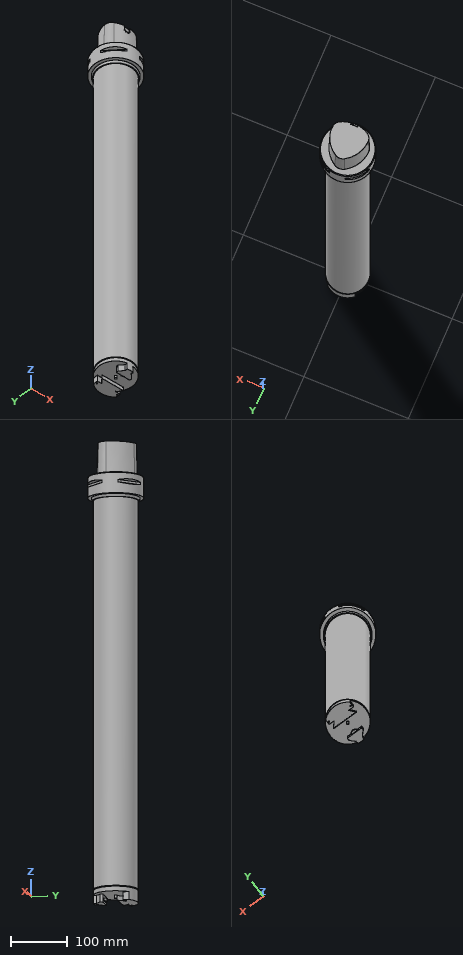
import cadquery as cq
import math

total_height = 831.0
flange_top = 772.0
flange_bottom = 734.0
collar_bottom = 729.0
ring_groove_height = 26.0
bar_bottom = 17.0
block_bottom = 2.5

bar_diameter = 80.0
bar_radius = bar_diameter / 2
collar_top_radius = 43.0
collar_bottom_radius = 41.5
flange_diameter = 100.0
flange_radius = flange_diameter / 2
flange_chamfer = 2.0
ring_groove_width = 2.0
ring_groove_depth = 0.4

lobe_count = 3
first_lobe_angle = 90
lobe_tip_radius = 37.0
lobe_radius = 17.0
flank_distance = 31.5
shank_taper = 1.4

notch_width = 12.5
notch_height = 13.0
notch_depth = 3.0
notch_corner = 3.0

slot_middle = 755.0
slot_mouth_height = 9.0
slot_floor_height = 4.0
slot_depth = 6.0
slot_angles = (45, 135, 225, 315)

overlap = 2.0
key_tip_width = 14.0
key_root_width = 31.5
key_shoulder_y = -25.0
key_inner_y = -20.0
key_disc_diameter = 16.0
key_disc_y = -23.0
key_disc_bottom = 7.0
key_disc_top = 12.0
clamp_width = 53.0
clamp_inner_y = 19.0
nose_root_width = 30.0
nose_tip_width = 50.0
nose_tip_y = 8.0
nose_top = 11.0
pin_diameter = 3.0
pin_offset = 23.7
center_stud_diameter = 5.0
center_stud_bottom = 12.0


def cylinder(radius, bottom, top):
    return cq.Workplane("XY").workplane(offset=bottom).circle(radius).extrude(top - bottom)


def box_between(x_range, y_range, z_range):
    size = [high - low for low, high in (x_range, y_range, z_range)]
    corner = (x_range[0], y_range[0], z_range[0])
    return cq.Workplane("XY").box(*size, centered=False).translate(corner)


def polar(distance, degrees):
    angle = math.radians(degrees)
    return cq.Vector(distance * math.cos(angle), distance * math.sin(angle))


def shank():
    """Three lobes joined by flatter flank arcs that run tangent into them."""
    lobe_center = lobe_tip_radius - lobe_radius
    gap = flank_distance - lobe_radius
    flank_center = (lobe_center**2 - gap**2) / (2 * gap - lobe_center)
    step = 360 / lobe_count

    def junction(lobe_angle, flank_angle):
        """Tangent point on the line through the centres of a lobe arc and a flank arc."""
        center = polar(lobe_center, lobe_angle)
        outward = center - polar(-flank_center, flank_angle)
        return (center + outward.normalized() * lobe_radius).toTuple()[:2]

    outline = cq.Workplane("XY").workplane(offset=total_height)
    outline = outline.moveTo(*junction(first_lobe_angle, first_lobe_angle - step / 2))
    for index in range(lobe_count):
        lobe = first_lobe_angle + index * step
        flank = lobe + step / 2
        outline = outline.threePointArc(
            polar(lobe_tip_radius, lobe).toTuple()[:2], junction(lobe, flank)
        )
        outline = outline.threePointArc(
            polar(flank_distance, flank).toTuple()[:2], junction(lobe + step, flank)
        )
    return outline.close().extrude(flange_top - total_height, taper=-shank_taper)


def shank_notch():
    notch_floor = -(flank_distance - notch_depth)
    notch = box_between(
        (-notch_width / 2, notch_width / 2),
        (-flange_radius, notch_floor),
        (total_height - notch_height, total_height),
    )
    return notch.edges("|Y and <Z").chamfer(notch_corner)


def gripper_slot(angle):
    """Straight slot across the flange rim, narrowing in height towards its floor."""
    floor_x = flange_radius - slot_depth
    half_mouth = slot_mouth_height / 2
    half_floor = slot_floor_height / 2
    slot = (
        cq.Workplane("XZ")
        .polyline(
            [
                (flange_radius, slot_middle + half_mouth),
                (floor_x, slot_middle + half_floor),
                (floor_x, slot_middle - half_floor),
                (flange_radius, slot_middle - half_mouth),
            ]
        )
        .close()
        .extrude(flange_radius, both=True)
    )
    return slot.rotate((0, 0, 0), (0, 0, 1), angle)


def ring_groove():
    low = ring_groove_height - ring_groove_width / 2
    high = ring_groove_height + ring_groove_width / 2
    return cylinder(flange_radius, low, high).cut(
        cylinder(bar_radius - ring_groove_depth, low, high)
    )


def collar():
    """Short cone between the flange and the bar."""
    return (
        cq.Workplane("XY")
        .workplane(offset=collar_bottom)
        .circle(collar_bottom_radius)
        .workplane(offset=flange_bottom - collar_bottom)
        .circle(collar_top_radius)
        .loft()
    )


def prism(right_side, bottom, top):
    """Upright prism whose plan is the given right-hand side and its mirror image."""
    left_side = [(-x, y) for x, y in reversed(right_side)]
    outline = cq.Workplane("XY").workplane(offset=bottom).polyline(right_side + left_side).close()
    return outline.extrude(top - bottom)


def key():
    """Key on the -Y side, with 45-degree flanks behind its narrow outer end."""
    half_tip = key_tip_width / 2
    half_root = key_root_width / 2
    shoulder_y = key_shoulder_y
    plan = [
        (half_tip, -flange_radius),
        (half_tip, shoulder_y - (half_root - half_tip)),
        (half_root, shoulder_y),
        (half_root, key_inner_y),
    ]
    block = prism(plan, block_bottom, bar_bottom + overlap)
    block = block.intersect(cylinder(bar_radius, 0, bar_bottom + overlap))
    disc = cylinder(key_disc_diameter / 2, key_disc_bottom, key_disc_top)
    return block.union(disc.translate((0, key_disc_y, 0)))


def clamp():
    """Block on the +Y side, with a low nose that widens towards the axis and two pointed pins."""
    block = box_between(
        (-clamp_width / 2, clamp_width / 2),
        (clamp_inner_y, bar_radius),
        (block_bottom, bar_bottom + overlap),
    ).intersect(cylinder(bar_radius, 0, bar_bottom + overlap))
    nose = prism(
        [(nose_tip_width / 2, nose_tip_y), (nose_root_width / 2, clamp_inner_y + overlap)],
        block_bottom,
        nose_top,
    )
    block = block.union(nose)
    pin = cq.Workplane(cq.Solid.makeCone(0, pin_diameter / 2, block_bottom + overlap))
    for side in (-1, 1):
        block = block.union(pin.translate((side * pin_offset, pin_offset, 0)))
    return block


result = (
    cylinder(bar_radius, bar_bottom, flange_top)
    .union(collar())
    .union(cylinder(flange_radius, flange_bottom, flange_top).faces(">Z").chamfer(flange_chamfer))
    .union(shank())
    .cut(shank_notch())
    .cut(ring_groove())
)
for slot_angle in slot_angles:
    result = result.cut(gripper_slot(slot_angle))

center_stud = cylinder(center_stud_diameter / 2, center_stud_bottom, bar_bottom + overlap)
result = result.union(key()).union(clamp()).union(center_stud)